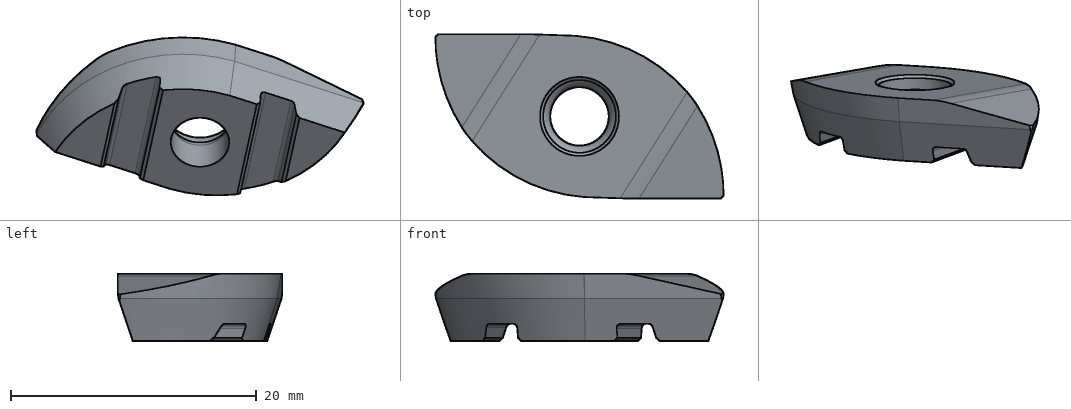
import cadquery as cq
import math

height = 5.5
flank_height = 3.5
land_height = height - flank_height

nose_radius = 13.02
nose_center_x = 1.34
nose_center_y = 6.73
straight_start_x = 0.38
straight_angle = 2.0
flank_taper = 18.0
land_taper = 9.0

half_length = 11.73
half_width = 6.69
tip_chamfer = 0.23

fold_direction = -32.3
fold_distance = 7.0
slope_angle = 14.7
fold_radius = 5.15

bore_radius = 2.37
seat_radius = 2.95
rim_radius = 3.21
rim_depth = 0.23
seat_start_depth = 1.17
seat_end_depth = 2.25

groove_angle = 12.5
groove_inner = 4.15
groove_floor_width = 2.82
groove_depth = 1.4
groove_draft = 14.0
groove_fillet = 0.35
groove_chamfer = 0.28

reach = 18.77


def half_turn(shape):
    return shape.rotate((0, 0, 0), (0, 0, 1), 180)


def nose_point(angle):
    """Point of the nose arc at an angle in radians from +X."""
    return (
        nose_center_x + nose_radius * math.cos(angle),
        nose_center_y + nose_radius * math.sin(angle),
    )


def make_outline():
    straight_start_angle = -math.acos((straight_start_x - nose_center_x) / nose_radius)
    start = nose_point(straight_start_angle)
    slope = math.tan(math.radians(straight_angle))
    tip_y = slope * (nose_radius - nose_center_x - straight_start_x) - start[1]
    tip_angle = -math.pi - math.asin((tip_y - nose_center_y) / nose_radius)
    tip_x = nose_point(tip_angle)[0]
    middle = nose_point((tip_angle + straight_start_angle) / 2)
    return (
        cq.Workplane("XY", origin=(0, 0, flank_height))
        .moveTo(tip_x, tip_y)
        .threePointArc(middle, start)
        .lineTo(-tip_x, -tip_y)
        .threePointArc((-middle[0], -middle[1]), (-start[0], -start[1]))
        .close()
    )


def make_body():
    flank = make_outline().extrude(-flank_height, taper=flank_taper)
    land = make_outline().extrude(land_height, taper=-land_taper)
    return flank.union(land)


def make_tip_cutter():
    overshoot = 1.17
    return (
        cq.Workplane("XY")
        .moveTo(half_length - tip_chamfer - overshoot, -half_width - overshoot)
        .lineTo(half_length + overshoot, -half_width + tip_chamfer + overshoot)
        .lineTo(half_length + overshoot, -half_width - overshoot)
        .close()
        .extrude(height)
    )


def make_slope_limit():
    """Long prism whose roof folds down at both ends with rounded folds."""
    drop = (reach - fold_distance) * math.tan(math.radians(slope_angle))
    prism = (
        cq.Workplane("XZ")
        .polyline([
            (-reach, -reach),
            (reach, -reach),
            (reach, height - drop),
            (fold_distance, height),
            (-fold_distance, height),
            (-reach, height - drop),
        ])
        .close()
        .extrude(reach, both=True)
    )
    for side in (-1, 1):
        fold = cq.selectors.NearestToPointSelector((side * fold_distance, 0, height))
        prism = prism.edges("|Y").edges(fold).fillet(fold_radius)
    return prism.rotate((0, 0, 0), (0, 0, 1), fold_direction)


def make_hole():
    run = seat_radius - bore_radius
    fall = seat_end_depth - seat_start_depth
    round_radius = (run**2 + fall**2) / (2 * run)
    half_angle = math.asin(fall / round_radius) / 2
    seat_middle = (
        bore_radius + round_radius * (1 - math.cos(half_angle)),
        height - seat_end_depth + round_radius * math.sin(half_angle),
    )
    return (
        cq.Workplane("XZ")
        .moveTo(0, 0)
        .lineTo(bore_radius, 0)
        .lineTo(bore_radius, height - seat_end_depth)
        .threePointArc(seat_middle, (seat_radius, height - seat_start_depth))
        .lineTo(seat_radius, height - rim_depth)
        .lineTo(rim_radius, height)
        .lineTo(0, height)
        .close()
        .revolve(360, (0, 0, 0), (0, 1, 0))
    )


def make_groove():
    outer = groove_inner + groove_floor_width
    draft_run = groove_depth * math.tan(math.radians(groove_draft))
    chamfer_run = groove_chamfer * math.tan(math.radians(groove_draft))
    outer_lip = outer + draft_run - chamfer_run
    groove = (
        cq.Workplane("XZ")
        .moveTo(groove_inner - groove_chamfer, 0)
        .lineTo(groove_inner, groove_chamfer)
        .lineTo(groove_inner, groove_depth)
        .lineTo(outer, groove_depth)
        .lineTo(outer_lip, groove_chamfer)
        .lineTo(outer_lip + groove_chamfer, 0)
        .close()
        .extrude(reach, both=True)
    )
    groove = groove.faces(">Z").edges("|Y").fillet(groove_fillet)
    return groove.rotate((0, 0, 0), (0, 0, 1), -groove_angle)


body = make_body().intersect(make_slope_limit()).cut(make_hole())
for cutter in (make_tip_cutter(), make_groove()):
    body = body.cut(cutter).cut(half_turn(cutter))

result = body